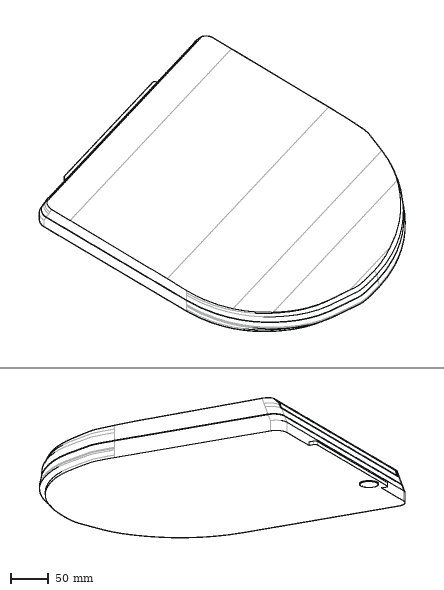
import cadquery as cq
import math

half_width = 181.95
arc_start_x = 266.5
front_angle_step = 15
corner_radius = 16.5
corner_cos = math.cos(math.radians(45))

foot_height = 1.5
undercut_low_z = 5.0
undercut_high_z = 12.5
rim_top_z = 14.5
rear_bend_z = 16.0
seat_top_z = 25.0
lid_gap = 1.0
lid_bottom_z = seat_top_z + lid_gap
front_bevel_z = 37.0
front_top_z = 42.0
top_z = 50.0

front_x = 455.5
undercut_front_x = 445.5
seat_top_front_x = 452.5
lid_front_x = 451.5
lid_top_front_x = 446.0

rear_x = 11.0
rear_lean = 0.38

rear_edge_x = 27.0
rear_edge_drop = 4.5
rear_edge_run = 4.0
lid_top_points = [
    (rear_edge_x, top_z),
    (71.0, 49.5),
    (234.5, 48.5),
    (334.5, 45.5),
    (381.0, 44.0),
    (440.5, front_top_z),
    (front_x, 40.0),
]

recess_bottom_z = 38.0
recess_depth = 1.5
recess_half_length = half_width - corner_radius

plate_half_length = 103.0
plate_top_z = 6.5
plate_corner_radius = 3.5
plate_end_x = 27.5
foot_diameter = 25.5
foot_x = 17.0
foot_y = -78.5


def rear_wall_x(z):
    """X of the rear wall at height z."""
    return rear_x + rear_lean * max(0, z - rear_bend_z)


def front_quarter(z, nose_x, side):
    """Quarter ellipse of the front, on the +Y (side 1) or -Y (side -1) half, anticlockwise."""
    points = [
        cq.Vector(
            arc_start_x + (nose_x - arc_start_x) * math.cos(math.radians(angle)),
            side * half_width * math.sin(math.radians(angle)),
            z,
        )
        for angle in range(0, 91, front_angle_step)
    ]
    nose_direction = cq.Vector(0, 1, 0)
    side_direction = cq.Vector(-side, 0, 0)
    if side > 0:
        return cq.Edge.makeSpline(points, tangents=[nose_direction, side_direction])
    return cq.Edge.makeSpline(points[::-1], tangents=[side_direction, nose_direction])


def outline(z, nose_x):
    """D-shaped outline at height z whose rounded front reaches nose_x."""
    back_x = rear_wall_x(z)
    corner_x = back_x + corner_radius
    corner_y = half_width - corner_radius
    mid_x = corner_x - corner_radius * corner_cos
    mid_y = corner_y + corner_radius * corner_cos
    front_right = front_quarter(z, nose_x, -1)
    front_left = front_quarter(z, nose_x, 1)
    straight = cq.Edge.makeLine
    left_side = straight(cq.Vector(arc_start_x, half_width, z), cq.Vector(corner_x, half_width, z))
    left_corner = cq.Edge.makeThreePointArc(
        cq.Vector(corner_x, half_width, z),
        cq.Vector(mid_x, mid_y, z),
        cq.Vector(back_x, corner_y, z),
    )
    back = straight(cq.Vector(back_x, corner_y, z), cq.Vector(back_x, -corner_y, z))
    right_corner = cq.Edge.makeThreePointArc(
        cq.Vector(back_x, -corner_y, z),
        cq.Vector(mid_x, -mid_y, z),
        cq.Vector(corner_x, -half_width, z),
    )
    right_side = straight(cq.Vector(corner_x, -half_width, z), cq.Vector(arc_start_x, -half_width, z))
    return cq.Wire.assembleEdges(
        [front_right, front_left, left_side, left_corner, back, right_corner, right_side]
    )


def stacked_outlines(levels):
    """Solid with straight walls between outlines given as (z, nose_x)."""
    return cq.Workplane(cq.Solid.makeLoft([outline(z, nose_x) for z, nose_x in levels], True))


def make_hinge_plate():
    return (
        cq.Workplane("XY", origin=(0, 0, foot_height))
        .rect(plate_end_x, 2 * plate_half_length)
        .extrude(plate_top_z - foot_height)
        .edges("|Z and <X")
        .fillet(plate_corner_radius)
        .translate((plate_end_x / 2, 0, 0))
    )


def make_foot():
    return (
        cq.Workplane("XY")
        .center(foot_x, foot_y)
        .circle(foot_diameter / 2)
        .extrude(plate_top_z)
    )


def make_seat():
    """Lower body: undercut at the front, with the hinge plate and foot at the rear."""
    body = stacked_outlines([
        (foot_height, undercut_front_x),
        (undercut_low_z, undercut_front_x),
        (undercut_high_z, front_x),
        (rim_top_z, front_x),
        (rear_bend_z, front_x),
        (seat_top_z, seat_top_front_x),
    ])
    return body.union(make_hinge_plate()).union(make_foot())


def make_lid():
    """Upper body: sloping top, bevelled front edge and recessed rear wall."""
    body = stacked_outlines([
        (lid_bottom_z, seat_top_front_x),
        (front_bevel_z, lid_front_x),
        (front_top_z, lid_top_front_x),
        (top_z, lid_top_front_x),
    ])
    side_profile = (
        cq.Workplane("XZ")
        .moveTo(0, lid_bottom_z)
        .lineTo(0, top_z - rear_edge_drop)
        .lineTo(rear_edge_x - rear_edge_run, top_z - rear_edge_drop)
        .polyline(lid_top_points, includeCurrent=True)
        .lineTo(front_x, lid_bottom_z)
        .close()
        .extrude(2 * half_width, both=True)
    )
    recess = (
        cq.Workplane("XZ")
        .moveTo(0, recess_bottom_z)
        .lineTo(rear_wall_x(recess_bottom_z) + recess_depth, recess_bottom_z)
        .lineTo(rear_wall_x(top_z) + recess_depth, top_z)
        .lineTo(0, top_z)
        .close()
        .extrude(recess_half_length, both=True)
    )
    return body.intersect(side_profile).cut(recess)


seat = make_seat()
lid = make_lid()

result = cq.Compound.makeCompound([seat.solids().val(), lid.solids().val()])